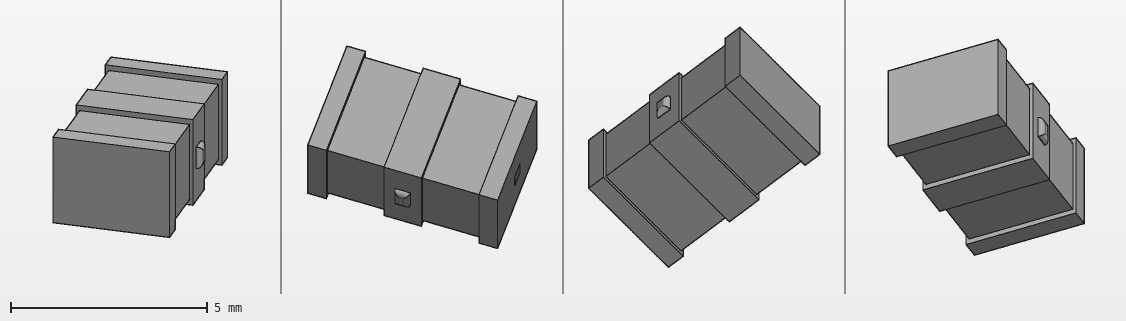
import cadquery as cq

length = 5.11
width_over_bumps = 3.4
height = 2.4

cap_length = 0.5
band_length = 1.0
core_width = 2.925
core_height = 2.105

bump_projection = 0.15
bump_length = 0.41
bump_height = 0.61

pad_side = 0.41
pad_thickness = 0.005

width = width_over_bumps - 2 * bump_projection
length_over_caps = length - pad_thickness
core_length = length_over_caps - 2 * cap_length
cap_offset = (length_over_caps - cap_length) / 2


def make_core():
    """Plain block between the end caps, passing through the band."""
    return cq.Workplane("XY").box(core_width, core_length, core_height)


def make_end_cap(side):
    """Slab closing the core on the given Y side (-1 or 1)."""
    cap = cq.Workplane("XY").box(width, cap_length, height)
    return cap.translate((0, side * cap_offset, 0))


def add_pad(cap):
    """Raise the square pad at the centre of the cap's +Y face."""
    outer_face = cap.faces(">Y").workplane(centerOption="CenterOfMass")
    return outer_face.rect(pad_side, pad_side).extrude(pad_thickness)


def make_bumps():
    """Bar across the band whose two ends are rounded by mitred quarter cylinders."""
    bar_rounded_along_y = (
        cq.Workplane("XY")
        .box(width_over_bumps, bump_length, bump_height)
        .edges("|Z")
        .fillet(bump_projection)
    )
    bar_rounded_along_z = (
        cq.Workplane("XY")
        .box(width_over_bumps, bump_length, bump_height)
        .edges("|Y")
        .fillet(bump_projection)
    )
    return bar_rounded_along_y.intersect(bar_rounded_along_z)


def make_band():
    """Ring around the middle of the core, with a bump on each X side."""
    block = cq.Workplane("XY").box(width, band_length, height)
    return block.union(make_bumps()).cut(make_core())


core = make_core()
band = make_band()
end_caps = [make_end_cap(-1), add_pad(make_end_cap(1))]

result = cq.Compound.makeCompound([core.val(), *band.vals(), *[cap.val() for cap in end_caps]])